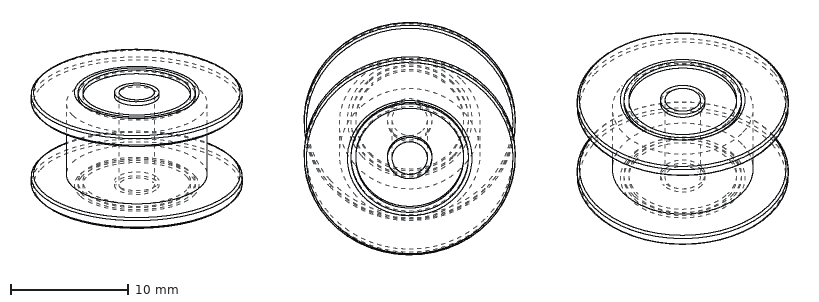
import cadquery as cq

flange_diameter = 18.0
height = 8.7
flange_thickness = 1.0
flange_chamfer = 0.2
hub_diameter = 12.0

bore_diameter = 3.0
inner_race_diameter = 3.8
outer_race_inner_diameter = 9.2
outer_race_diameter = 10.0
shield_depth = 0.36
seat_chamfer = 0.3
seat_mouth_diameter = outer_race_diameter + 2 * seat_chamfer


def cylinder(diameter, length, base=0.0):
    return cq.Workplane("XY").workplane(offset=base).circle(diameter / 2).extrude(length)


def flange(base):
    """Disc with both rim edges chamfered."""
    return cylinder(flange_diameter, flange_thickness, base).edges().chamfer(flange_chamfer)


def shield_recess(base):
    """Annular recess between the two bearing races."""
    outer = cylinder(outer_race_inner_diameter, shield_depth, base)
    return outer.cut(cylinder(inner_race_diameter, shield_depth, base))


def seat_groove():
    """V groove at the top: vertical outer race wall inside, chamfered seat outside."""
    return (
        cq.Workplane("XZ")
        .moveTo(outer_race_diameter / 2, height - seat_chamfer)
        .lineTo(seat_mouth_diameter / 2, height)
        .lineTo(outer_race_diameter / 2, height)
        .close()
        .revolve(360, (0, 0, 0), (0, 1, 0))
    )


spool = cylinder(hub_diameter, height)
for flange_base in (0.0, height - flange_thickness):
    spool = spool.union(flange(flange_base))

for recess_base in (0.0, height - shield_depth):
    spool = spool.cut(shield_recess(recess_base))

top_groove = seat_groove()
bottom_groove = top_groove.mirror("XY", (0, 0, height / 2))
for groove in (top_groove, bottom_groove):
    spool = spool.cut(groove)

result = spool.cut(cylinder(bore_diameter, height))